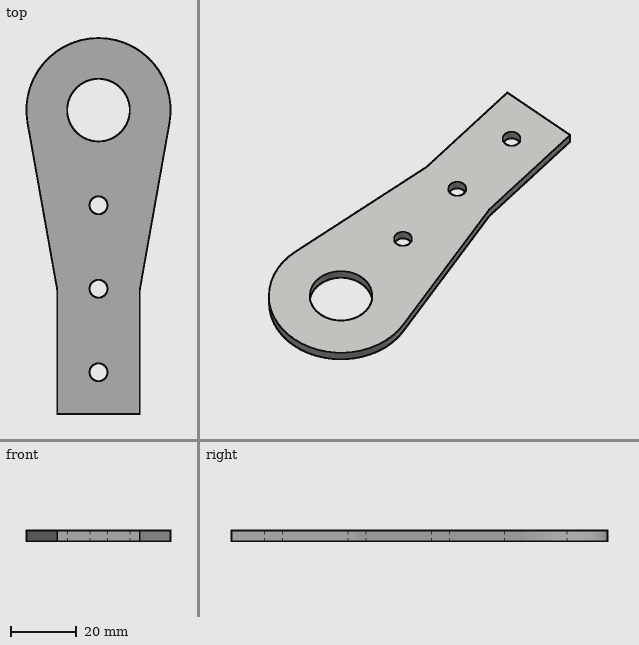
import cadquery as cq
import math

length = 114.3
thickness = 3.3
head_radius = 22.0
handle_width = 25.1
shoulder_y = 37.7
shoulder_blend_radius = 5.0

head_hole_diameter = 19.0
small_hole_diameter = 5.4
first_hole_y = 12.7
hole_pitch = 25.4
small_hole_count = 3

head_center_y = length - head_radius
half_width = handle_width / 2

shoulder_distance = math.hypot(half_width, head_center_y - shoulder_y)
shoulder_bearing = math.atan2(shoulder_y - head_center_y, half_width)
tangent_angle = shoulder_bearing + math.acos(head_radius / shoulder_distance)
tangent_x = head_radius * math.cos(tangent_angle)
tangent_y = head_center_y + head_radius * math.sin(tangent_angle)


def make_plate():
    """Straight handle widening along tangent flanks into a round head."""
    plate = (
        cq.Workplane("XY")
        .moveTo(-half_width, 0)
        .lineTo(half_width, 0)
        .lineTo(half_width, shoulder_y)
        .lineTo(tangent_x, tangent_y)
        .threePointArc((0, length), (-tangent_x, tangent_y))
        .lineTo(-half_width, shoulder_y)
        .close()
        .extrude(thickness)
    )
    for side in (-1, 1):
        corner = cq.selectors.NearestToPointSelector((side * half_width, shoulder_y, thickness / 2))
        plate = plate.edges("|Z").edges(corner).fillet(shoulder_blend_radius)
    return plate


def make_hole(center_y, diameter):
    """Through-hole cutter on the centre line."""
    return cq.Workplane("XY").center(0, center_y).circle(diameter / 2).extrude(thickness)


result = make_plate().cut(make_hole(head_center_y, head_hole_diameter))
for index in range(small_hole_count):
    hole_y = first_hole_y + index * hole_pitch
    result = result.cut(make_hole(hole_y, small_hole_diameter))